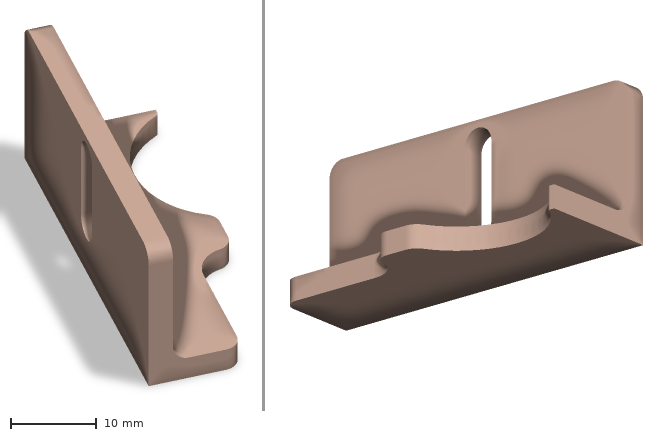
import cadquery as cq
import math

length = 45.0
depth = 16.5
height = 20.0
thickness = 3.0
corner_radius = 2.0
inner_bend_radius = 2.0

slot_width = 4.0
slot_bottom = 5.0
slot_top = 19.0

scallop_radius = 11.0
scallop_x = 10.85
scallop_floor = 9.9
left_tip_depth = 16.15
left_tip_radius = 0.5

shelf_depth = 11.5
step_radius = 4.0
step_x = 31.0
lobe_radius = 2.0


def point_between(start, end, distance):
    """Point at the given distance from start on the way to end."""
    fraction = distance / math.dist(start, end)
    return (
        start[0] + fraction * (end[0] - start[0]),
        start[1] + fraction * (end[1] - start[1]),
    )


def rounding_center(edge_y, radius, notch_center, notch_radius, side):
    """Center of a rounding tangent to the line y = edge_y and to a notch circle.

    side is -1 when the rounding lies left of the notch and +1 when it lies right.
    """
    center_y = edge_y - radius
    offset_x = math.sqrt((notch_radius + radius) ** 2 - (notch_center[1] - center_y) ** 2)
    return (notch_center[0] + side * offset_x, center_y)


def arc_middle(center, radius, start, end):
    """Middle point of the minor arc from start to end about center."""
    chord_middle = ((start[0] + end[0]) / 2, (start[1] + end[1]) / 2)
    return point_between(center, chord_middle, radius)


def make_flange():
    scallop_center = (scallop_x, scallop_floor + scallop_radius)
    step_center = (step_x, shelf_depth + step_radius)

    tip_center = rounding_center(left_tip_depth, left_tip_radius, scallop_center, scallop_radius, -1)
    lobe_left_center = rounding_center(depth, lobe_radius, scallop_center, scallop_radius, 1)
    lobe_right_center = rounding_center(depth, lobe_radius, step_center, step_radius, -1)

    tip_start = (tip_center[0], left_tip_depth)
    tip_end = point_between(tip_center, scallop_center, left_tip_radius)
    lobe_left_start = point_between(lobe_left_center, scallop_center, lobe_radius)
    lobe_left_end = (lobe_left_center[0], depth)
    lobe_right_start = (lobe_right_center[0], depth)
    lobe_right_end = point_between(lobe_right_center, step_center, lobe_radius)
    shelf_start = (step_x, shelf_depth)

    outline = (
        cq.Workplane("XY")
        .lineTo(0, left_tip_depth)
        .lineTo(*tip_start)
        .threePointArc(arc_middle(tip_center, left_tip_radius, tip_start, tip_end), tip_end)
        .threePointArc((scallop_x, scallop_floor), lobe_left_start)
        .threePointArc(
            arc_middle(lobe_left_center, lobe_radius, lobe_left_start, lobe_left_end), lobe_left_end
        )
        .lineTo(*lobe_right_start)
        .threePointArc(
            arc_middle(lobe_right_center, lobe_radius, lobe_right_start, lobe_right_end), lobe_right_end
        )
        .threePointArc(arc_middle(step_center, step_radius, lobe_right_end, shelf_start), shelf_start)
        .lineTo(length - corner_radius, shelf_depth)
        .tangentArcPoint((length, shelf_depth - corner_radius), relative=False)
        .lineTo(length, 0)
        .close()
    )
    return outline.extrude(thickness)


def make_wall():
    wall = cq.Workplane("XY").box(length, thickness, height, centered=False)
    return wall.edges("|Y and >Z").fillet(corner_radius)


def make_slot_cutter():
    slot_length = slot_top - slot_bottom
    slot_middle = (slot_top + slot_bottom) / 2
    return (
        cq.Workplane("XZ")
        .center(length / 2, slot_middle)
        .slot2D(slot_length, slot_width, 90)
        .extrude(-thickness)
    )


def make_inner_bend():
    """Concave fillet strip in the corner between flange and wall."""
    bend_end = thickness + inner_bend_radius
    corner = (thickness, thickness)
    bend_center = (bend_end, bend_end)
    return (
        cq.Workplane("YZ")
        .moveTo(*corner)
        .lineTo(bend_end, thickness)
        .threePointArc(point_between(bend_center, corner, inner_bend_radius), (thickness, bend_end))
        .close()
        .extrude(length)
    )


bracket = make_flange().union(make_wall()).union(make_inner_bend())
result = bracket.cut(make_slot_cutter())